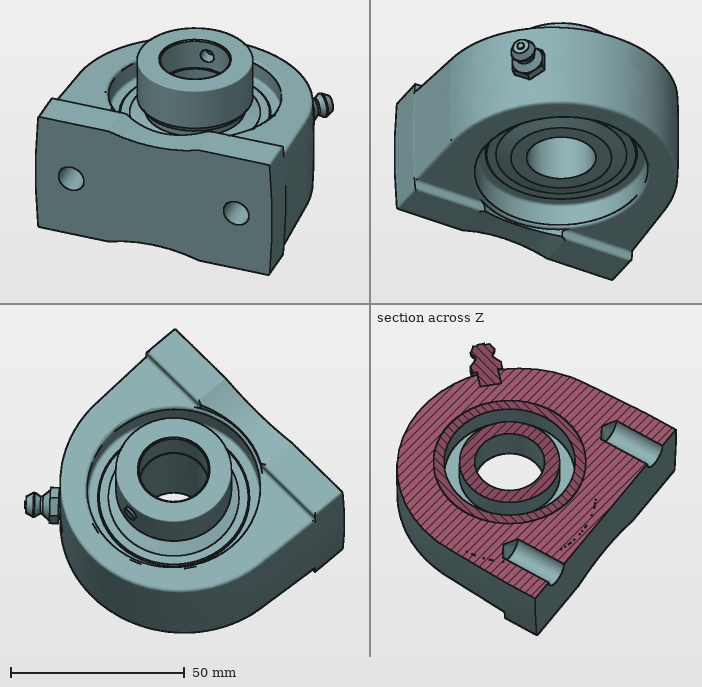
import cadquery as cq
import math


foot_width = 72.85
foot_height = 38.0
foot_thickness = 10.95
foot_bottom_y = -33.3
foot_front_y = foot_bottom_y + foot_thickness
foot_edge_radius = 0.75
side_bulge = 0.8
waist_width = 28.0
waist_depth = 2.1
bolt_spacing = 50.8
bolt_hole_diameter = 7.8
bolt_hole_depth = 16.0
drill_point_angle = 118.0

head_top_y = 31.82
head_radius = 35.55
head_side_angle = 2.4
head_top_half_height = 13.45
head_face_angle = 2.72
head_edge_radius = 0.9
foot_fillet_radius = 0.95
bore_diameter = 49.78
bore_mouth_radius = 0.95

seat_half_width = 8.0
seat_fillet_radius = 0.85
ring_diameter = 43.7
ring_rise = 0.4
seal_diameter = 37.62
seal_thickness = 2.0
seal_dish = 1.15
inner_ring_diameter = 28.96
inner_ring_top_z = 17.1
shaft_diameter = 20.0

collar_diameter = 33.3
collar_top_z = 26.61
collar_bottom_z = 12.1
collar_bevel_height = 1.7
collar_bevel_width = 1.15
collar_edge_radius = 0.35
shaft_bore_chamfer = 0.38
screw_diameter = 4.13
screw_z = 21.6
screw_outer_y = 17.5
screw_inner_y = 14.0

nipple_angle = 45.0
nipple_seat_radius = 33.1
nipple_stem_diameter = 6.0
nipple_stem_length = 5.0
hex_across_flats = 9.0
hex_height = 2.5
hex_turn = 30.0
cone_top_radius = 2.7
cone_top = 4.55
neck_radius = 2.45
neck_height = 5.25
head_rim_radius = 3.55
head_rim_bottom = 6.9
head_rim_top = 7.3
head_end_radius = 2.4
head_end = 9.4
tip_diameter = 2.01
tip_end = 9.8

lean_angle = math.radians(head_side_angle)
head_centre_y = head_top_y - head_radius
shoulder_half_width = head_radius * math.cos(lean_angle)
shoulder_y = head_centre_y + head_radius * math.sin(lean_angle)
head_end_y = foot_front_y - foot_edge_radius
head_end_half_width = shoulder_half_width + (shoulder_y - head_end_y) * math.tan(lean_angle)
ring_half_width = seat_half_width + ring_rise
seal_lip_z = ring_half_width + seal_dish
root_margin = foot_fillet_radius / 10
root_reach = foot_height / 2 - 2 * foot_edge_radius


def head_outline(half_width_loss):
    """Plan outline of the head: an arc over two straight sides that spread towards the foot."""
    shoulder_x = shoulder_half_width - half_width_loss
    end_x = head_end_half_width - half_width_loss
    return (
        cq.Sketch()
        .segment((-end_x, head_end_y), (-shoulder_x, shoulder_y))
        .arc((-shoulder_x, shoulder_y), (0, head_top_y), (shoulder_x, shoulder_y))
        .segment((shoulder_x, shoulder_y), (end_x, head_end_y))
        .close()
        .assemble()
    )


def head_blank():
    """Smooth loft over three plan outlines, so that the sides swell at mid-height."""
    half_height = foot_height / 2
    edge_outline = head_outline(side_bulge)
    return (
        cq.Workplane("XY")
        .placeSketch(
            edge_outline.moved(cq.Location(cq.Vector(0, 0, -half_height))),
            head_outline(0),
            edge_outline.moved(cq.Location(cq.Vector(0, 0, half_height))),
        )
        .loft()
    )


def head():
    """Head blank trimmed between the two leaning faces, with rounded rims."""
    spread = (head_top_y - head_end_y) * math.tan(math.radians(head_face_angle))
    end_half_height = head_top_half_height + spread
    wedge = (
        cq.Workplane("YZ")
        .moveTo(head_top_y, head_top_half_height)
        .lineTo(head_end_y, end_half_height)
        .lineTo(head_end_y, -end_half_height)
        .lineTo(head_top_y, -head_top_half_height)
        .close()
        .extrude(foot_width, both=True)
    )
    shape = head_blank().intersect(wedge)
    rims = shape.faces("<Z or >Z").edges().edges("not(<Y)")
    return rims.fillet(head_edge_radius)


def foot():
    """Foot block with swelling ends and rounded edges."""
    half_width = foot_width / 2
    corner_x = half_width - side_bulge
    half_height = foot_height / 2
    block = (
        cq.Workplane("XZ", origin=(0, foot_front_y, 0))
        .moveTo(-corner_x, half_height)
        .lineTo(corner_x, half_height)
        .threePointArc((half_width, 0), (corner_x, -half_height))
        .lineTo(-corner_x, -half_height)
        .threePointArc((-half_width, 0), (-corner_x, half_height))
        .close()
        .extrude(foot_thickness)
    )
    block = block.edges("|Y").fillet(foot_edge_radius)
    bar = cq.Workplane("XY").box(foot_width, foot_thickness, foot_height)
    bar = bar.translate((0, foot_front_y - foot_thickness / 2, 0))
    bar = bar.faces(">Y").edges("|X").fillet(foot_edge_radius)
    return block.intersect(bar)


def foot_waists():
    """Cutters for the hollows in the upper and lower long faces of the foot."""
    half_waist = waist_width / 2
    half_height = foot_height / 2
    upper = (
        cq.Workplane("XZ", origin=(0, foot_front_y, 0))
        .moveTo(-half_waist, half_height)
        .threePointArc((0, half_height - waist_depth), (half_waist, half_height))
        .close()
        .extrude(foot_thickness)
    )
    return upper.union(upper.mirror("XY"))


def bolt_holes():
    """Cutters for the two blind bolt holes with conical drill points."""
    radius = bolt_hole_diameter / 2
    point_length = radius / math.tan(math.radians(drill_point_angle / 2))
    drill = (
        cq.Workplane("XY")
        .lineTo(radius, 0)
        .lineTo(radius, bolt_hole_depth)
        .lineTo(0, bolt_hole_depth + point_length)
        .close()
        .revolve(360, (0, 0, 0), (0, 1, 0))
    )
    left = drill.translate((-bolt_spacing / 2, foot_bottom_y, 0))
    return left.union(left.mirror("YZ"))


def disc(diameter, bottom_z, top_z):
    """Solid cylinder on the bore axis between two heights."""
    return cq.Workplane("XY", origin=(0, 0, bottom_z)).circle(diameter / 2).extrude(top_z - bottom_z)


def along_nipple_axis(solid):
    """Turns a solid built along +Z onto the nipple axis, with its origin on the nipple seat."""
    turned = solid.rotate((0, 0, 0), (0, 1, 0), 90).translate((nipple_seat_radius, 0, 0))
    return turned.rotate((0, 0, 0), (0, 0, 1), nipple_angle)


def nipple_stem():
    """Round stem of the grease nipple, also the cutter for its hole in the housing."""
    return along_nipple_axis(disc(nipple_stem_diameter, -nipple_stem_length, 0))


def bore_recess():
    """Cutters for the bore from both ends down to the ring seat, with rounded floor corners."""
    upper = disc(bore_diameter, seat_half_width, foot_height / 2)
    upper = upper.faces("<Z").edges().fillet(seat_fillet_radius)
    return upper.union(upper.mirror("XY"))


def bore_mouths():
    """Cutters that round both ends of the bore, each square to its leaning head face."""
    lean = math.radians(head_face_angle)
    face_z = head_top_half_height + head_top_y * math.tan(lean)
    bore_radius = bore_diameter / 2
    mouth_radius = bore_radius + bore_mouth_radius
    arc_offset = bore_mouth_radius * (1 - math.sqrt(0.5))
    plane = cq.Plane((0, 0, face_z), xDir=(-1, 0, 0), normal=(0, math.cos(lean), -math.sin(lean)))
    upper = (
        cq.Workplane(plane)
        .moveTo(0, -bore_mouth_radius)
        .lineTo(bore_radius, -bore_mouth_radius)
        .threePointArc((bore_radius + arc_offset, -arc_offset), (mouth_radius, 0))
        .lineTo(mouth_radius, foot_height / 2)
        .lineTo(0, foot_height / 2)
        .close()
        .revolve(360, (0, 0, 0), (0, 1, 0))
    )
    return upper.union(upper.mirror("XY"))


def housing_body():
    """Head and foot in one piece, with the bore, ring seat, bolt holes and nipple hole."""
    body = head().union(foot())
    root = cq.selectors.BoxSelector(
        (-waist_width, foot_front_y - root_margin, -root_reach),
        (waist_width, foot_front_y + root_margin, root_reach),
    )
    body = body.edges(root).fillet(foot_fillet_radius)
    body = body.cut(foot_waists())
    body = body.cut(bore_recess())
    body = body.cut(disc(ring_diameter, -seat_half_width, seat_half_width))
    body = body.cut(bore_mouths())
    return body.cut(bolt_holes()).cut(nipple_stem())


def outer_ring_body():
    """Outer ring that stands slightly proud of the housing seat, with bevelled rims."""
    ring = disc(ring_diameter, -ring_half_width, ring_half_width)
    ring = ring.faces("<Z or >Z").edges().chamfer(ring_rise)
    return ring.cut(disc(seal_diameter, -ring_half_width, ring_half_width))


def seal_bodies():
    """Seals closing the gap between the rings at both ends, their faces rising to the inner ring."""
    inner_radius = inner_ring_diameter / 2
    outer_radius = seal_diameter / 2
    back_z = ring_half_width - seal_thickness
    upper = (
        cq.Workplane("XZ")
        .moveTo(inner_radius, back_z)
        .lineTo(outer_radius, back_z)
        .lineTo(outer_radius, ring_half_width)
        .lineTo(inner_radius, seal_lip_z)
        .close()
        .revolve(360, (0, 0, 0), (0, 1, 0))
    )
    return [upper, upper.mirror("XY")]


def inner_ring_body():
    """Inner ring, flush with the lip of the lower seal and reaching up into the collar."""
    ring = disc(inner_ring_diameter, -seal_lip_z, inner_ring_top_z)
    ring = ring.cut(disc(shaft_diameter, -seal_lip_z, inner_ring_top_z))
    bore_rim = ring.faces(">Z").edges(cq.selectors.RadiusNthSelector(0))
    return bore_rim.chamfer(shaft_bore_chamfer)


def set_screw_body():
    """Headless screw in the collar wall, standing slightly proud of the collar."""
    screw = cq.Workplane("XZ", origin=(0, screw_outer_y, screw_z)).circle(screw_diameter / 2)
    return screw.extrude(screw_outer_y - screw_inner_y)


def collar_body():
    """Locking collar over the inner ring, with a cross hole for the set screw."""
    radius = collar_diameter / 2
    collar = (
        cq.Workplane("XZ")
        .moveTo(0, collar_bottom_z)
        .lineTo(radius - collar_bevel_width, collar_bottom_z)
        .lineTo(radius, collar_bottom_z + collar_bevel_height)
        .lineTo(radius, collar_top_z)
        .lineTo(0, collar_top_z)
        .close()
        .revolve(360, (0, 0, 0), (0, 1, 0))
    )
    collar = collar.faces(">Z").edges().fillet(collar_edge_radius)
    collar = collar.cut(disc(shaft_diameter, collar_bottom_z, collar_top_z))
    bore_rim = collar.faces(">Z").edges(cq.selectors.RadiusNthSelector(0))
    collar = bore_rim.chamfer(shaft_bore_chamfer)
    collar = collar.cut(disc(inner_ring_diameter, collar_bottom_z, inner_ring_top_z))
    cross_hole = cq.Workplane("XZ", origin=(0, 0, screw_z)).circle(screw_diameter / 2)
    return collar.cut(cross_hole.extrude(-collar_diameter))


def grease_nipple_body():
    """Hexagon with a stem below and a turned neck, head and tip above."""
    hexagon = cq.Workplane("XY").polygon(6, hex_across_flats, circumscribed=True).extrude(hex_height)
    hexagon = hexagon.rotate((0, 0, 0), (0, 0, 1), hex_turn)
    turned = (
        cq.Workplane("XZ")
        .lineTo(hex_across_flats / 2, 0)
        .lineTo(hex_across_flats / 2, hex_height)
        .lineTo(cone_top_radius, cone_top)
        .lineTo(neck_radius, neck_height)
        .lineTo(head_rim_radius, head_rim_bottom)
        .lineTo(head_rim_radius, head_rim_top)
        .lineTo(head_end_radius, head_end)
        .lineTo(tip_diameter / 2, head_end)
        .lineTo(tip_diameter / 2, tip_end)
        .lineTo(0, tip_end)
        .close()
        .revolve(360, (0, 0, 0), (0, 1, 0))
    )
    return along_nipple_axis(hexagon.union(turned)).union(nipple_stem())


housing = housing_body()
outer_ring = outer_ring_body()
seals = seal_bodies()
inner_ring = inner_ring_body()
collar = collar_body()
set_screw = set_screw_body()
grease_nipple = grease_nipple_body()

bodies = [housing, outer_ring, *seals, inner_ring, collar, set_screw, grease_nipple]
result = cq.Compound.makeCompound([body.val() for body in bodies])